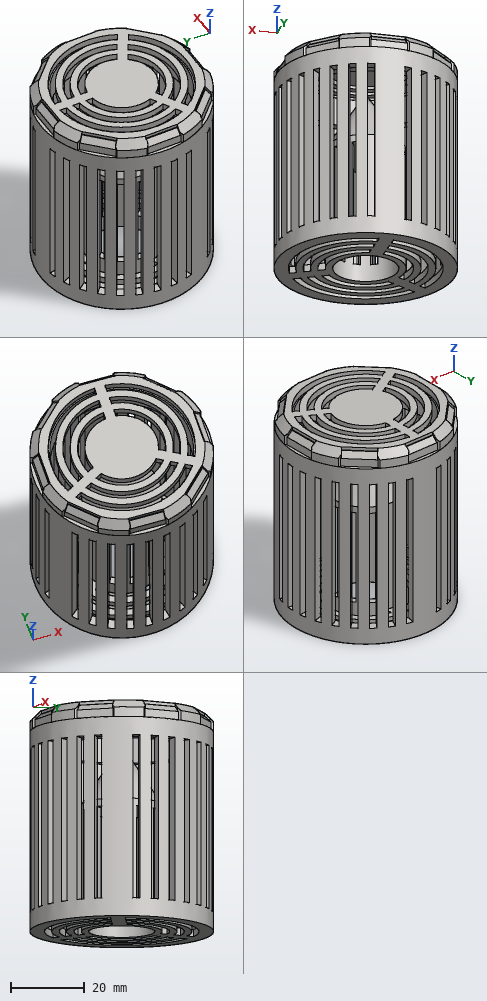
import cadquery as cq

OUTER_DIAMETER = 50.0
OVERALL_HEIGHT = 60.0
BORE_DIAMETER = 44.4
LID_HEIGHT = 5.0
RIM_HEIGHT = 5.0
SPOKE_COUNT = 3
FIRST_SPOKE_ANGLE = 90.0
RING_SLOT_WIDTH = 2.0
RING_SLOT_PITCH = 4.0
RING_SLOT_COUNT = 3

outer_radius = OUTER_DIAMETER / 2
bore_radius = BORE_DIAMETER / 2
housing_height = OVERALL_HEIGHT - LID_HEIGHT
spoke_angles = [FIRST_SPOKE_ANGLE + i * 360 / SPOKE_COUNT for i in range(SPOKE_COUNT)]

FLOOR_THICKNESS = 2.0
VENT_WIDTH = 2.0
WALL_VENT_PITCH = 12.0
CORE_DIAMETER = 22.0
CORE_BORE_DIAMETER = 18.0
CORE_HEIGHT = 35.0
CONE_HEIGHT = 16.5
CORE_VENT_TOP = 33.0
CORE_VENT_PITCH = 30.0
FLOOR_SPOKE_WIDTH = 4.0

PLATE_THICKNESS = 2.0
PLUG_DEPTH = RIM_HEIGHT
LID_INNER_DIAMETER = 39.2
LID_CHAMFER = 2.35
LID_SPOKE_WIDTH = 3.0
LID_FIRST_SLOT_RADIUS = 10.0
GRIP_COUNT = 8
GRIP_HALF_WIDTH = 4.9
GRIP_FACE_DISTANCE = 23.9
GRIP_FACE_HEIGHT = 2.4
GRIP_BEVEL = 1.6
GRIP_TOP_DISTANCE = 22.0
GRIP_FLARE_DISTANCE = 23.65


def cylinder(radius, bottom, top):
    return cq.Workplane("XY").workplane(offset=bottom).circle(radius).extrude(top - bottom)


def radial_bar(angle, width, length, bottom, top):
    """Bar from the axis outward along the given angle."""
    bar = cq.Workplane("XY").box(length, width, top - bottom, centered=(False, True, False))
    return bar.rotate((0, 0, 0), (0, 0, 1), angle).translate((0, 0, bottom))


def ring_slots(first_radius, spoke_width, bottom, top):
    """Concentric slots, interrupted by the spokes."""
    slots = cq.Workplane("XY")
    for i in range(RING_SLOT_COUNT):
        inner = first_radius + i * RING_SLOT_PITCH
        ring = cylinder(inner + RING_SLOT_WIDTH, bottom, top).cut(cylinder(inner, bottom, top))
        slots = slots.add(ring)
    slots = slots.combine()
    for angle in spoke_angles:
        slots = slots.cut(radial_bar(angle, spoke_width, outer_radius, bottom, top))
    return slots


def upright_vents(pitch, outward_length, top):
    """Radial bars at an even pitch, left out above the spokes."""
    vents = cq.Workplane("XY")
    for i in range(round(360 / pitch)):
        angle = FIRST_SPOKE_ANGLE + i * pitch
        if (i * pitch) % (360 / SPOKE_COUNT) != 0:
            vents = vents.add(radial_bar(angle, VENT_WIDTH, outward_length, RIM_HEIGHT, top))
    return vents.combine()


def make_core():
    """Hollow vented post with a cone on top."""
    radius = CORE_DIAMETER / 2
    core = (
        cq.Workplane("XZ")
        .polyline([(0, 0), (radius, 0), (radius, CORE_HEIGHT), (0, CORE_HEIGHT + CONE_HEIGHT)])
        .close()
        .revolve(360, (0, 0, 0), (0, 1, 0))
    )
    core = core.cut(cylinder(CORE_BORE_DIAMETER / 2, 0, CORE_VENT_TOP))
    return core.cut(upright_vents(CORE_VENT_PITCH, CORE_DIAMETER, CORE_VENT_TOP))


def make_housing():
    """Vented cup with a ring-slotted floor around the core."""
    core_radius = CORE_DIAMETER / 2
    cup = cylinder(outer_radius, 0, housing_height)
    cup = cup.cut(cylinder(bore_radius, FLOOR_THICKNESS, housing_height))
    cup = cup.cut(upright_vents(WALL_VENT_PITCH, OUTER_DIAMETER, housing_height - RIM_HEIGHT))
    cup = cup.cut(ring_slots(core_radius, FLOOR_SPOKE_WIDTH, 0, FLOOR_THICKNESS))
    cup = cup.cut(cylinder(core_radius, 0, FLOOR_THICKNESS))
    return cup.union(make_core())


def grip_recess():
    """Cutter for one recess on the +X side of the lid."""
    face_top = housing_height + GRIP_FACE_HEIGHT
    bevel_top = face_top + GRIP_BEVEL
    profile = [
        (GRIP_FACE_DISTANCE, housing_height),
        (GRIP_FACE_DISTANCE, face_top),
        (GRIP_FACE_DISTANCE - GRIP_BEVEL, bevel_top),
        (GRIP_TOP_DISTANCE, bevel_top),
        (GRIP_TOP_DISTANCE, OVERALL_HEIGHT),
        (OUTER_DIAMETER, OVERALL_HEIGHT),
        (OUTER_DIAMETER, housing_height),
    ]
    swept = cq.Workplane("XZ").polyline(profile).close().extrude(outer_radius, both=True)

    flare = outer_radius - GRIP_FLARE_DISTANCE
    end_half_width = GRIP_HALF_WIDTH + flare
    plan = [
        (0, -GRIP_HALF_WIDTH),
        (GRIP_FLARE_DISTANCE, -GRIP_HALF_WIDTH),
        (outer_radius, -end_half_width),
        (outer_radius, end_half_width),
        (GRIP_FLARE_DISTANCE, GRIP_HALF_WIDTH),
        (0, GRIP_HALF_WIDTH),
    ]
    window = cq.Workplane("XY").workplane(offset=housing_height).polyline(plan).close().extrude(LID_HEIGHT)
    return swept.intersect(window)


def make_lid():
    """Hollow cap with a slotted plate, a plug and grip recesses around its edge."""
    plate_bottom = OVERALL_HEIGHT - PLATE_THICKNESS
    plug_bottom = housing_height - PLUG_DEPTH
    lid = cylinder(outer_radius, housing_height, OVERALL_HEIGHT).faces(">Z").chamfer(LID_CHAMFER)
    recess = grip_recess()
    for i in range(GRIP_COUNT):
        lid = lid.cut(recess.rotate((0, 0, 0), (0, 0, 1), i * 360 / GRIP_COUNT))
    lid = lid.union(cylinder(bore_radius, plug_bottom, housing_height))
    lid = lid.cut(cylinder(LID_INNER_DIAMETER / 2, plug_bottom, plate_bottom))
    return lid.cut(ring_slots(LID_FIRST_SLOT_RADIUS, LID_SPOKE_WIDTH, plate_bottom, OVERALL_HEIGHT))


housing = make_housing()
lid = make_lid()
result = cq.Compound.makeCompound([housing.val(), lid.val()])